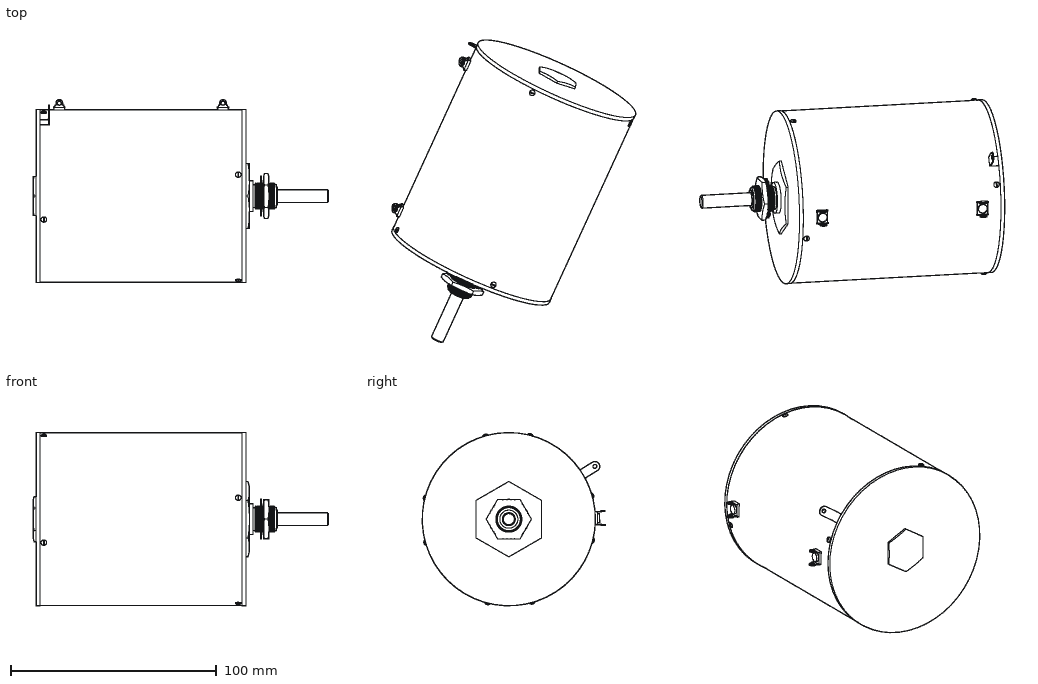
import cadquery as cq
import math


cover_radius = 42.16
tube_radius = 42.03
rear_face_x = 1.4
front_face_x = 103.5
cover_thickness = 1.9
tube_start_x = rear_face_x + cover_thickness
tube_end_x = front_face_x - cover_thickness
housing_turn = 0.7

rear_hex_flats = 19.05
front_hex_flats = 31.75
front_hex_thickness = 1.65
hex_chamfer_angle = 16.0

screw_count = 4
screw_offset_angle = 15.0
screw_inset = 1.9
screw_radius = 1.35
screw_top_radius = cover_radius + 0.75
screw_root_radius = cover_radius - 2.0
screw_side_radius = cover_radius + 0.1
screw_slot_width = 0.4
screw_slot_depth = 0.4

lug_angle = 30.8
lug_width = 4.8
lug_thickness = 0.5
lug_bend_size = 0.3
lug_end_x = 7.85
lug_seat_radius = cover_radius - lug_thickness
lug_hole_distance = 49.1
lug_hole_diameter = 1.8

terminal_xs = (12.7, 92.3)
terminal_base_length = 5.2
terminal_base_width = 6.6
terminal_base_top = cover_radius + 1.0
terminal_seat = tube_radius - 0.3
terminal_tip = 46.88
terminal_tab_width = 3.4
terminal_tab_root_width = 5.7
terminal_taper_height = 1.0
terminal_sheet = 0.4
terminal_splay = 0.35
terminal_step_y = 45.0
terminal_hole_diameter = 1.9
rivet_radius = 2.2
rivet_top = 44.2

shaft_radius = 3.175
collar_radius = 7.55
collar_end_x = 107.0
neck_radius = 5.6
thread_radius = 6.35
thread_pitch = 25.4 / 32
thread_depth = 0.45
thread_crest = thread_pitch / 4
thread_start_x = 107.9
thread_turns = 12
thread_lead_in_x = 118.2
lip_radius = 4.4
bushing_end_x = 118.8

shaft_end_x = 143.51
shaft_chamfer = 0.5

nut_flats = 19.05
nut_start_x = 112.0
nut_thickness = 2.6
washer_start_x = 110.5
washer_hub_radius = 7.5
washer_hub_thickness = 0.7
washer_tooth_radius = 9.7
washer_tooth_thickness = 0.4
washer_tooth_count = 16


def cylinder(x_start, x_end, radius):
    """Round bar along X."""
    return cq.Workplane("YZ", origin=(x_start, 0, 0)).circle(radius).extrude(x_end - x_start)


def revolved(points):
    """Solid turned about the X axis from an outline of (x, radius) points."""
    return cq.Workplane("XZ").polyline(points).close().revolve(360, (0, 0, 0), (1, 0, 0))


def hexagon(x_start, x_end, flats, corner_turn, chamfer_start, chamfer_end):
    """Hexagonal prism along X, corners on +-Y turned by corner_turn, with coned-off corners."""
    corner_diameter = flats / math.cos(math.pi / 6)
    prism = (
        cq.Workplane("YZ", origin=(x_start, 0, 0))
        .polygon(6, corner_diameter)
        .extrude(x_end - x_start)
        .rotate((0, 0, 0), (1, 0, 0), corner_turn)
    )
    corner_radius = corner_diameter / 2
    flat_radius = flats / 2
    drop = (corner_radius - flat_radius) * math.tan(math.radians(hex_chamfer_angle))
    envelope = [(x_start, 0)]
    if chamfer_start:
        envelope += [(x_start, flat_radius), (x_start + drop, corner_radius)]
    else:
        envelope += [(x_start, corner_radius)]
    if chamfer_end:
        envelope += [(x_end - drop, corner_radius), (x_end, flat_radius)]
    else:
        envelope += [(x_end, corner_radius)]
    envelope += [(x_end, 0)]
    return prism.intersect(revolved(envelope))


def cover_screw(x, angle):
    """Slotted round head standing on the tube, angle measured from +Y towards +Z."""
    dome_height = screw_top_radius - screw_side_radius
    dome_radius = (screw_radius**2 + dome_height**2) / (2 * dome_height)
    head = (
        cq.Workplane("XY")
        .moveTo(0, screw_root_radius)
        .lineTo(screw_radius, screw_root_radius)
        .lineTo(screw_radius, screw_side_radius)
        .radiusArc((0, screw_top_radius), -dome_radius)
        .close()
        .revolve(360, (0, 0, 0), (0, 1, 0))
        .translate((x, 0, 0))
    )
    slot = cq.Workplane("XY").box(screw_slot_width, 2 * screw_slot_depth, 2 * screw_radius)
    head = head.cut(slot.translate((x, screw_top_radius, 0)))
    return head.rotate((0, 0, 0), (1, 0, 0), angle)


def ground_lug():
    """L-shaped tag: a flat foot on the tube and an eyelet plate standing radially."""
    foot_length = lug_end_x - tube_start_x
    plate_x = lug_end_x - lug_thickness
    foot = (
        cq.Workplane("XY")
        .box(foot_length, lug_thickness, lug_width, centered=(False, False, True))
        .translate((tube_start_x, lug_seat_radius, 0))
    )
    half_width = lug_width / 2
    plate = (
        cq.Workplane("YZ", origin=(plate_x, 0, 0))
        .moveTo(lug_seat_radius, -half_width)
        .lineTo(lug_hole_distance, -half_width)
        .threePointArc((lug_hole_distance + half_width, 0), (lug_hole_distance, half_width))
        .lineTo(lug_seat_radius, half_width)
        .close()
        .moveTo(lug_hole_distance, 0)
        .circle(lug_hole_diameter / 2)
        .extrude(lug_thickness)
    )
    foot_top = lug_seat_radius + lug_thickness
    bend = (
        cq.Workplane("XY", origin=(0, 0, -half_width))
        .moveTo(plate_x, foot_top)
        .lineTo(plate_x - lug_bend_size, foot_top)
        .radiusArc((plate_x, foot_top + lug_bend_size), -lug_bend_size)
        .close()
        .extrude(lug_width)
    )
    return foot.union(plate).union(bend).rotate((0, 0, 0), (1, 0, 0), lug_angle)


def fork_terminal(x):
    """Riveted U-shaped terminal on the +Y side with two eyelet tabs."""
    base_height = terminal_base_top - terminal_seat
    terminal = (
        cq.Workplane("XY")
        .box(terminal_base_length, base_height, terminal_base_width, centered=(True, False, True))
        .translate((x, terminal_seat, 0))
    )
    rivet = (
        cq.Workplane("XZ", origin=(x, terminal_seat, 0))
        .circle(rivet_radius)
        .extrude(terminal_seat - rivet_top)
    )
    terminal = terminal.union(rivet)

    half_root = terminal_tab_root_width / 2
    root_y = terminal_base_top - terminal_sheet
    half_tab = terminal_tab_width / 2
    taper_end = terminal_base_top + terminal_taper_height
    eye_y = terminal_tip - half_tab
    inner = terminal_base_width / 2 - terminal_sheet
    outer = terminal_base_width / 2
    full_height = 2 * (outer + terminal_splay)
    silhouette = (
        cq.Workplane("XY", origin=(x, 0, -full_height / 2))
        .moveTo(-half_root, root_y)
        .lineTo(half_root, root_y)
        .lineTo(half_root, terminal_base_top)
        .lineTo(half_tab, taper_end)
        .lineTo(half_tab, eye_y)
        .threePointArc((0, terminal_tip), (-half_tab, eye_y))
        .lineTo(-half_tab, taper_end)
        .lineTo(-half_root, terminal_base_top)
        .close()
        .moveTo(0, eye_y)
        .circle(terminal_hole_diameter / 2)
        .extrude(full_height)
    )
    strip = (
        cq.Workplane("YZ", origin=(x - half_root, 0, 0))
        .moveTo(root_y, inner)
        .lineTo(terminal_step_y, inner)
        .lineTo(terminal_step_y + terminal_sheet / 2, inner + terminal_splay)
        .lineTo(terminal_tip, inner + terminal_splay)
        .lineTo(terminal_tip, outer + terminal_splay)
        .lineTo(terminal_step_y - terminal_sheet / 2, outer + terminal_splay)
        .lineTo(terminal_step_y - terminal_sheet, outer)
        .lineTo(root_y, outer)
        .close()
        .extrude(terminal_tab_root_width)
    )
    upper_tab = strip.intersect(silhouette)
    return terminal.union(upper_tab).union(upper_tab.mirror("XY"))


def make_housing():
    """Tube and covers with the rear hex boss, cover screws, ground lug and terminals."""
    housing = revolved([
        (rear_face_x, 0),
        (rear_face_x, cover_radius),
        (tube_start_x, cover_radius),
        (tube_start_x, tube_radius),
        (tube_end_x, tube_radius),
        (tube_end_x, cover_radius),
        (front_face_x, cover_radius),
        (front_face_x, 0),
    ])
    for index in range(screw_count):
        quarter = index * 360 / screw_count
        housing = housing.union(cover_screw(tube_start_x + screw_inset, quarter + screw_offset_angle))
        housing = housing.union(cover_screw(tube_end_x - screw_inset, quarter - screw_offset_angle))
    housing = housing.union(ground_lug())
    for x in terminal_xs:
        housing = housing.union(fork_terminal(x))
    housing = housing.rotate((0, 0, 0), (1, 0, 0), housing_turn)
    return housing.union(hexagon(0, rear_face_x, rear_hex_flats, 90, True, False))


def make_bushing():
    """Hex flange, collar and ring-threaded barrel, bored for the shaft."""
    hex_end_x = front_face_x + front_hex_thickness
    flange = hexagon(front_face_x, hex_end_x, front_hex_flats, 90, False, True)
    outline = [
        (front_face_x, 0),
        (front_face_x, collar_radius),
        (collar_end_x, collar_radius),
        (collar_end_x, neck_radius),
        (thread_start_x, neck_radius),
        (thread_start_x, thread_radius - thread_depth),
    ]
    for turn in range(thread_turns):
        crest_x = thread_start_x + (turn + 0.5) * thread_pitch
        root_x = thread_start_x + (turn + 1) * thread_pitch
        outline += [
            (crest_x - thread_crest / 2, thread_radius),
            (crest_x + thread_crest / 2, thread_radius),
            (root_x, thread_radius - thread_depth),
        ]
    outline += [
        (thread_lead_in_x, neck_radius),
        (thread_lead_in_x, lip_radius),
        (bushing_end_x, lip_radius),
        (bushing_end_x, 0),
    ]
    bore = cylinder(front_face_x, bushing_end_x, shaft_radius)
    return flange.union(revolved(outline)).cut(bore)


def make_shaft():
    """Plain round shaft standing on the front cover."""
    return cylinder(front_face_x, shaft_end_x, shaft_radius).faces(">X").chamfer(shaft_chamfer)


def make_washer():
    """External-tooth lock washer."""
    hub_end_x = washer_start_x + washer_hub_thickness
    washer = cylinder(washer_start_x, hub_end_x, washer_hub_radius)
    tooth_half_angle = math.pi / washer_tooth_count / 2
    tooth_width = 2 * washer_tooth_radius * math.sin(tooth_half_angle)
    tooth_end_x = washer_start_x + washer_tooth_thickness
    rim = cylinder(washer_start_x, tooth_end_x, washer_tooth_radius)
    for index in range(washer_tooth_count):
        tooth = (
            cq.Workplane("XY")
            .box(washer_tooth_thickness, washer_tooth_radius, tooth_width, centered=(False, False, True))
            .translate((washer_start_x, 0, 0))
            .rotate((0, 0, 0), (1, 0, 0), index * 360 / washer_tooth_count)
        )
        washer = washer.union(tooth.intersect(rim))
    return washer.cut(cylinder(washer_start_x, hub_end_x, thread_radius))


def make_nut():
    """Hex nut with chamfered corners, its corners on the Y axis."""
    nut_end_x = nut_start_x + nut_thickness
    nut = hexagon(nut_start_x, nut_end_x, nut_flats, 0, True, True)
    return nut.cut(cylinder(nut_start_x, nut_end_x, thread_radius))


housing = make_housing()
bushing = make_bushing()
shaft = make_shaft()
washer = make_washer()
nut = make_nut()

result = cq.Compound.makeCompound([
    housing.val(),
    bushing.val(),
    shaft.val(),
    washer.val(),
    nut.val(),
])